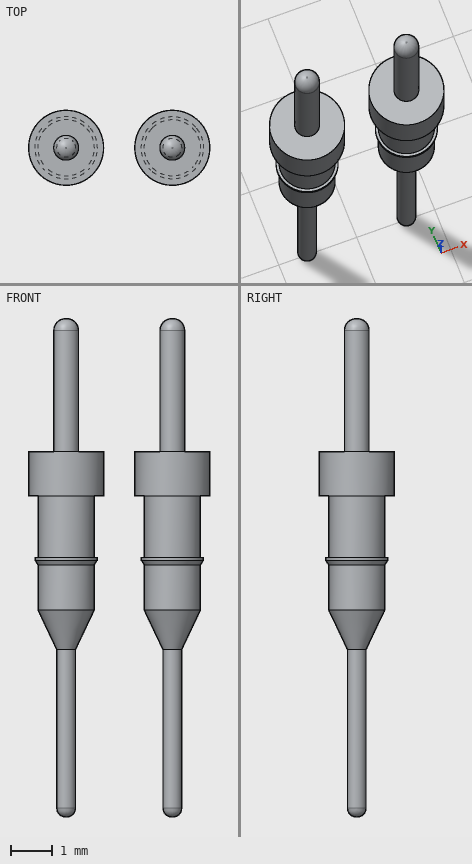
import cadquery as cq

TOTAL_HEIGHT = 11.96
PIN_PITCH = 2.55
PIN_COUNT = 2

TAIL_DIAMETER = 0.45
BARREL_DIAMETER = 1.35
RING_DIAMETER = 1.5
HEAD_DIAMETER = 1.8
POST_DIAMETER = 0.6

TAIL_TOP = 4.02
TAPER_TOP = 4.96
RING_BOTTOM = 6.05
RING_RIM_BOTTOM = 6.16
RING_TOP = 6.23
HEAD_BOTTOM = 7.7
HEAD_TOP = 8.77

TAIL_TIP_RADIUS = 0.22
POST_TIP_RADIUS = 0.29


def make_pin(center_x):
    """Turned contact pin standing on Z = 0, with its axis at the given X."""
    tail_radius = TAIL_DIAMETER / 2
    barrel_radius = BARREL_DIAMETER / 2
    ring_radius = RING_DIAMETER / 2
    head_radius = HEAD_DIAMETER / 2
    post_radius = POST_DIAMETER / 2

    half_section = [
        (0, 0),
        (tail_radius, 0),
        (tail_radius, TAIL_TOP),
        (barrel_radius, TAPER_TOP),
        (barrel_radius, RING_BOTTOM),
        (ring_radius, RING_RIM_BOTTOM),
        (ring_radius, RING_TOP),
        (barrel_radius, RING_TOP),
        (barrel_radius, HEAD_BOTTOM),
        (head_radius, HEAD_BOTTOM),
        (head_radius, HEAD_TOP),
        (post_radius, HEAD_TOP),
        (post_radius, TOTAL_HEIGHT),
        (0, TOTAL_HEIGHT),
    ]
    pin = cq.Workplane("XZ").polyline(half_section).close().revolve(360, (0, 0), (0, 1))

    pin = pin.faces("<Z").edges().fillet(TAIL_TIP_RADIUS)
    pin = pin.faces(">Z").edges().fillet(POST_TIP_RADIUS)
    return pin.translate((center_x, 0, 0))


first_pin_x = -PIN_PITCH * (PIN_COUNT - 1) / 2
pins = [make_pin(first_pin_x + index * PIN_PITCH) for index in range(PIN_COUNT)]

result = cq.Compound.makeCompound([pin.val() for pin in pins])